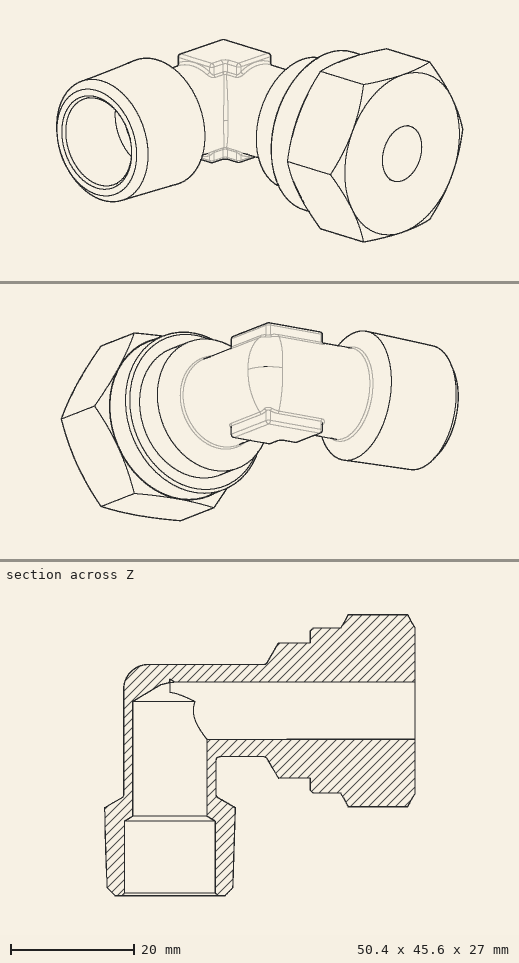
import cadquery as cq
import math

overall_length = 50.4
overall_width = 45.6
spigot_radius = 10.65

pipe_radius = 7.5
arm_length = 12.6
corner_fillet = 4.05
crotch_fillet = 0.5
neck_fillet = 0.5
flare_slope = math.tan(math.radians(60))

pad_half_width = 3.95
pad_reach = 7.0
pad_height = 8.5
pad_rounding = 0.5
pad_base_fillet = 0.45

shoulder_radius = 11.0
shoulder_start = 17.6
collar_radius = 13.4
collar_start = 22.75
collar_chamfer = 0.5
nut_start = 27.7
nut_end = overall_length - spigot_radius
nut_flats = 27.0
nut_corner_radius = nut_flats / math.sqrt(3)
nut_blank_margin = 0.5
nut_chamfer_slope = math.tan(math.radians(30))

spigot_start = 15.7
spigot_end = overall_width - nut_corner_radius
spigot_taper = 1 / 32
spigot_chamfer = 1.3

mouth_radius = 7.8
counterbore_radius = 7.35
counterbore_depth = 12.1
inlet_radius = 6.0
inlet_tip = 5.1
outlet_radius = 4.65
drill_point_slope = math.tan(math.radians(31))


def revolve_x(profile):
    """Turn a closed outline of (distance along +X, radius) points about the X axis."""
    return cq.Workplane("XY").polyline(profile).close().revolve(360, (0, 0), (1, 0))


def revolve_y(profile):
    """Turn a closed outline of (distance along -Y, radius) points about the Y axis."""
    points = [(radius, -distance) for distance, radius in profile]
    return cq.Workplane("XY").polyline(points).close().revolve(360, (0, 0), (0, 1))


def fillet_circle(body, centre, radius):
    """Round the circular edge whose centre lies at the given point."""
    return body.edges(cq.selectors.NearestToPointSelector(centre)).fillet(radius)


def fillet_mitre(body, side, radius):
    """Round the curved mitre edges outside (side -1) or inside (side +1) the bend."""
    near_corner = (side * pad_half_width, -side * pad_half_width, -pipe_radius)
    far_corner = (side * pipe_radius, -side * pipe_radius, pipe_radius)
    return body.edges(cq.selectors.BoxSelector(near_corner, far_corner)).edges("%ELLIPSE").fillet(radius)


def make_mitred_arms():
    """Two equal pipes cut on the diagonal plane and joined into a sharp elbow."""
    size = 2 * arm_length
    arm_x = cq.Workplane("YZ").workplane(offset=-size).circle(pipe_radius).extrude(size + arm_length)
    arm_y = cq.Workplane("XZ").workplane(offset=-size).circle(pipe_radius).extrude(size + arm_length)
    ends = [(-size, size), (size, -size)]
    half_x = cq.Workplane("XY").polyline(ends + [(size, size)]).close().extrude(size, both=True)
    half_y = cq.Workplane("XY").polyline(ends + [(-size, -size)]).close().extrude(size, both=True)
    return arm_x.intersect(half_x).union(arm_y.intersect(half_y))


def make_pads():
    """L-shaped block through the elbow whose ends form the two wrench pads."""
    w, r = pad_half_width, pad_reach
    outline = [(-w, w), (r, w), (r, -w), (w, -w), (w, -r), (-w, -r)]
    block = cq.Workplane("XY").polyline(outline).close().extrude(pad_height, both=True)
    block = block.edges("|Z").fillet(pad_rounding)
    return block.faces("<Z or >Z").edges().fillet(pad_rounding)


def fillet_pad_bases(body):
    """Blend the pad walls into the pipe surface."""
    low = math.sqrt(pipe_radius**2 - pad_half_width**2) - pad_base_fillet
    high = pipe_radius
    reach = pad_reach + pad_rounding
    lower = cq.selectors.BoxSelector((-reach, -reach, -high), (reach, reach, -low))
    upper = cq.selectors.BoxSelector((-reach, -reach, low), (reach, reach, high))
    return body.edges(lower + upper).edges("not |Z").edges("not %ELLIPSE").fillet(pad_base_fillet)


def make_elbow():
    """Rounded elbow carrying the two wrench pads."""
    body = make_mitred_arms().union(make_pads())
    body = fillet_mitre(body, -1, corner_fillet)
    body = fillet_mitre(body, 1, crotch_fillet)
    return fillet_pad_bases(body)


def make_shoulder():
    """Flared shoulder and collar behind the nut."""
    neck = shoulder_start - (shoulder_radius - pipe_radius) / flare_slope
    body = revolve_x([
        (arm_length, 0),
        (arm_length, pipe_radius),
        (neck, pipe_radius),
        (shoulder_start, shoulder_radius),
        (collar_start, shoulder_radius),
        (collar_start, collar_radius - collar_chamfer),
        (collar_start + collar_chamfer, collar_radius),
        (nut_start, collar_radius),
        (nut_start, 0),
    ])
    return fillet_circle(body, (neck, 0, 0), neck_fillet)


def make_nut():
    """Hexagon with corners along Y, both ends chamfered down to the flats."""
    length = nut_end - nut_start
    hexagon = cq.Workplane("YZ").workplane(offset=nut_start).polygon(6, 2 * nut_corner_radius).extrude(length)
    face_radius = nut_flats / 2
    blank_radius = nut_corner_radius + nut_blank_margin
    run = (blank_radius - face_radius) * nut_chamfer_slope
    blank = revolve_x([
        (nut_start, 0),
        (nut_start, face_radius),
        (nut_start + run, blank_radius),
        (nut_end - run, blank_radius),
        (nut_end, face_radius),
        (nut_end, 0),
    ])
    return hexagon.intersect(blank)


def make_spigot():
    """Flared, tapered male end with a 45 degree lead-in chamfer."""
    neck = spigot_start - (spigot_radius - pipe_radius) / flare_slope
    chamfer_start = spigot_end - spigot_chamfer
    tip_radius = spigot_radius - (chamfer_start - spigot_start) * spigot_taper
    body = revolve_y([
        (arm_length, 0),
        (arm_length, pipe_radius),
        (neck, pipe_radius),
        (spigot_start, spigot_radius),
        (chamfer_start, tip_radius),
        (spigot_end, tip_radius - spigot_chamfer),
        (spigot_end, 0),
    ])
    return fillet_circle(body, (0, -neck, 0), neck_fillet)


def make_inlet_bore():
    """Stepped bore from the spigot mouth to a drill point behind the bend."""
    inlet_end = inlet_radius * drill_point_slope - inlet_tip
    step_end = spigot_end - counterbore_depth
    step_start = step_end - (counterbore_radius - inlet_radius) * drill_point_slope
    return revolve_y([
        (-inlet_tip, 0),
        (inlet_end, inlet_radius),
        (step_start, inlet_radius),
        (step_end, counterbore_radius),
        (spigot_end - (mouth_radius - counterbore_radius), counterbore_radius),
        (spigot_end, mouth_radius),
        (spigot_end, 0),
    ])


def make_outlet_bore():
    """Plain bore from the bend out through the nut."""
    return cq.Workplane("YZ").circle(outlet_radius).extrude(nut_end)


outside = make_elbow().union(make_shoulder()).union(make_nut()).union(make_spigot())
result = outside.cut(make_inlet_bore()).cut(make_outlet_bore())